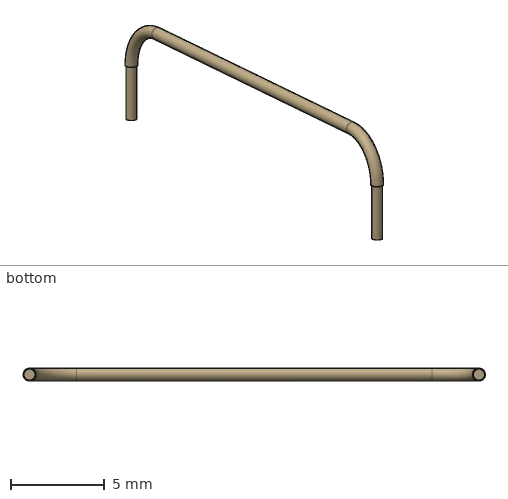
import cadquery as cq
import math

overall_length = 24.7
overall_height = 5.85
sleeve_diameter = 0.7
conductor_diameter = 0.6
bend_radius = 2.5

leg_x = (overall_length - sleeve_diameter) / 2
bridge_z = overall_height - sleeve_diameter / 2
bend_start_z = bridge_z - bend_radius
bridge_half_length = leg_x - bend_radius


def trace_sleeved_part(path):
    """Add the first bend, the straight bridge and the second bend to a path."""
    bend_middle_offset = bend_radius * math.sqrt(0.5)
    bend_middle_x = bridge_half_length + bend_middle_offset
    bend_middle_z = bend_start_z + bend_middle_offset
    return (
        path
        .threePointArc((-bend_middle_x, bend_middle_z), (-bridge_half_length, bridge_z))
        .lineTo(bridge_half_length, bridge_z)
        .threePointArc((bend_middle_x, bend_middle_z), (leg_x, bend_start_z))
    )


def make_conductor():
    """Solid round wire running from one leg end to the other."""
    left_leg = cq.Workplane("XZ").moveTo(-leg_x, 0).lineTo(-leg_x, bend_start_z)
    path = trace_sleeved_part(left_leg).lineTo(leg_x, 0)
    section = cq.Workplane("XY", origin=(-leg_x, 0, 0)).circle(conductor_diameter / 2)
    return section.sweep(path)


def make_sleeve():
    """Tube that fits around the conductor and stops where the straight legs begin."""
    path = trace_sleeved_part(cq.Workplane("XZ").moveTo(-leg_x, bend_start_z))
    section = (
        cq.Workplane("XY", origin=(-leg_x, 0, bend_start_z))
        .circle(sleeve_diameter / 2)
        .circle(conductor_diameter / 2)
    )
    return section.sweep(path)


conductor = make_conductor()
sleeve = make_sleeve()

result = cq.Compound.makeCompound([conductor.val(), sleeve.val()])